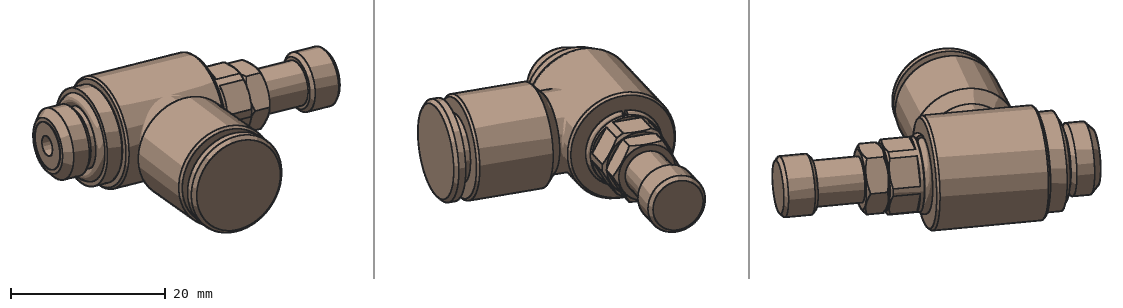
import cadquery as cq
import math


OVERALL_WIDTH = 30.5
OVERALL_LENGTH = 42.0

BARREL_DIAMETER = 15.0
BARREL_RADIUS = BARREL_DIAMETER / 2
BARREL_HALF_LENGTH = 7.5
BARREL_CHAMFER = 0.3
BARREL_TOP_CHAMFER_LENGTH = 0.38

PORT_NECK_RADIUS = 5.5
PORT_RADIUS = 7.0
PORT_CONE_START = 7.95
PORT_CONE_END = PORT_CONE_START + PORT_RADIUS - PORT_NECK_RADIUS
PORT_END = 20.0
PORT_CHAMFER = 0.35
JUNCTION_FILLET = 0.25

SLEEVE_RADIUS = 4.6
SLEEVE_FLARE_LENGTH = 0.38
SLEEVE_FLARE_RADIUS = 4.87
RELEASE_FLANGE_RADIUS = 6.8
RELEASE_FLANGE_END = OVERALL_WIDTH - BARREL_RADIUS
RELEASE_FLANGE_THICKNESS = 1.45
RELEASE_FLANGE_START = RELEASE_FLANGE_END - RELEASE_FLANGE_THICKNESS
RELEASE_FLANGE_CHAMFER = 0.5

KNOB_RADIUS = 4.0
KNOB_TOP = 26.92
KNOB_BOTTOM = 22.4
KNOB_CHAMFER = 0.5
ROD_RADIUS = 3.02

HEX_CHAMFER_INSET = 0.1
HEX_CHAMFER_SLOPE = math.tan(math.radians(30))
NUT_ACROSS_FLATS = 8.02
NUT_TOP = 16.1
NUT_BOTTOM = 13.05
HEX_ACROSS_FLATS = 9.0
HEX_BOTTOM = 9.15
COLLAR_RADIUS = 4.9
COLLAR_BOTTOM = 8.6

BORE_RADIUS = 4.65
BEAD_SECTION_RADIUS = 0.5
BEAD_CENTER_RADIUS = 4.8
BEAD_OUTER_RADIUS = BEAD_CENTER_RADIUS + BEAD_SECTION_RADIUS
BEAD_CENTER_HEIGHT = BARREL_HALF_LENGTH + BEAD_SECTION_RADIUS
BEAD_NOTCH_WIDTH = 0.65

STEM_FLANGE_RADIUS = 6.55
STEM_FLANGE_BOTTOM = -9.9
STEM_FLANGE_CHAMFER = 0.2
SEAL_CENTER_RADIUS = 5.05
SEAL_SECTION_RADIUS = 0.9
SEAL_BOTTOM = -10.63
RELIEF_RADIUS = 4.15
THREAD_RADIUS = 4.8
THREAD_TOP = -11.6
THREAD_CHAMFER = 1.05
STEM_BOTTOM = -15.0
INSERT_RADIUS = 3.2
INSERT_BOTTOM = KNOB_TOP - OVERALL_LENGTH
FLOW_HOLE_RADIUS = 1.35
FLOW_HOLE_DEPTH = 4.2


def revolve_about_y(points):
    """Turn a closed (radius, y) outline around the stem axis."""
    return cq.Workplane("XY").polyline(points).close().revolve(360, (0, 0), (0, 1))


def revolve_about_x(points):
    """Turn a closed (x, radius) outline around the port axis."""
    return cq.Workplane("XY").polyline(points).close().revolve(360, (0, 0), (1, 0))


def cylinder_y(radius, bottom, top):
    """Round bar on the stem axis from y = bottom to y = top."""
    return cq.Workplane("XZ", origin=(0, bottom, 0)).circle(radius).extrude(bottom - top)


def torus_y(center_radius, section_radius, y):
    """Torus around the stem axis at height y."""
    section = cq.Workplane("XY").center(center_radius, y).circle(section_radius)
    return section.revolve(360, (-center_radius, 0), (-center_radius, 1))


def hexagon_y(across_flats, bottom, top):
    """Hexagonal bar on the stem axis with two flats facing +Z and -Z."""
    across_corners = across_flats / math.cos(math.radians(30))
    return cq.Workplane("XZ", origin=(0, bottom, 0)).polygon(6, across_corners).extrude(bottom - top)


def make_housing():
    """Barrel, port neck, tube port and release sleeve, bored through for the stem."""
    barrel = revolve_about_y([
        (0, -BARREL_HALF_LENGTH),
        (BARREL_RADIUS - BARREL_CHAMFER, -BARREL_HALF_LENGTH),
        (BARREL_RADIUS, -BARREL_HALF_LENGTH + BARREL_CHAMFER),
        (BARREL_RADIUS, BARREL_HALF_LENGTH - BARREL_TOP_CHAMFER_LENGTH),
        (BARREL_RADIUS - BARREL_CHAMFER, BARREL_HALF_LENGTH),
        (0, BARREL_HALF_LENGTH),
    ])
    neck = cq.Workplane("YZ").circle(PORT_NECK_RADIUS).extrude(PORT_CONE_START)
    body = barrel.union(neck)
    body = body.edges("%BSPLINE").fillet(JUNCTION_FILLET)
    port = revolve_about_x([
        (PORT_CONE_START, 0),
        (PORT_CONE_START, PORT_NECK_RADIUS),
        (PORT_CONE_END, PORT_RADIUS),
        (PORT_END - PORT_CHAMFER, PORT_RADIUS),
        (PORT_END, PORT_RADIUS - PORT_CHAMFER),
        (PORT_END, SLEEVE_RADIUS),
        (RELEASE_FLANGE_START - SLEEVE_FLARE_LENGTH, SLEEVE_RADIUS),
        (RELEASE_FLANGE_START, SLEEVE_FLARE_RADIUS),
        (RELEASE_FLANGE_START, RELEASE_FLANGE_RADIUS),
        (RELEASE_FLANGE_END - RELEASE_FLANGE_CHAMFER, RELEASE_FLANGE_RADIUS),
        (RELEASE_FLANGE_END, RELEASE_FLANGE_RADIUS - RELEASE_FLANGE_CHAMFER),
        (RELEASE_FLANGE_END, 0),
    ])
    bore = cylinder_y(BORE_RADIUS, -BARREL_HALF_LENGTH, BARREL_HALF_LENGTH)
    return body.union(port).cut(bore)


def make_lock_nut():
    """Hexagon nut with both ends chamfered by a shallow cone."""
    middle = (NUT_TOP + NUT_BOTTOM) / 2
    face_radius = NUT_ACROSS_FLATS / 2 - HEX_CHAMFER_INSET
    cone_radius = face_radius + (NUT_TOP - middle) / HEX_CHAMFER_SLOPE
    chamfers = revolve_about_y([
        (0, NUT_BOTTOM),
        (face_radius, NUT_BOTTOM),
        (cone_radius, middle),
        (face_radius, NUT_TOP),
        (0, NUT_TOP),
    ])
    return hexagon_y(NUT_ACROSS_FLATS, NUT_BOTTOM, NUT_TOP).intersect(chamfers)


def make_wrench_hexagon():
    """Hexagon with corners rounded to the collar and its top end chamfered."""
    face_radius = HEX_ACROSS_FLATS / 2 - HEX_CHAMFER_INSET
    chamfer_drop = (COLLAR_RADIUS - face_radius) * HEX_CHAMFER_SLOPE
    round_corners = revolve_about_y([
        (0, HEX_BOTTOM),
        (COLLAR_RADIUS, HEX_BOTTOM),
        (COLLAR_RADIUS, NUT_BOTTOM - chamfer_drop),
        (face_radius, NUT_BOTTOM),
        (0, NUT_BOTTOM),
    ])
    return hexagon_y(HEX_ACROSS_FLATS, HEX_BOTTOM, NUT_BOTTOM).intersect(round_corners)


def make_bead():
    """Round bead that retains the housing, interrupted by a notch on the +Z side."""
    bead = torus_y(BEAD_CENTER_RADIUS, BEAD_SECTION_RADIUS, BEAD_CENTER_HEIGHT)
    notch = (
        cq.Workplane("XY")
        .center(0, BEAD_CENTER_HEIGHT)
        .rect(BEAD_NOTCH_WIDTH, 2 * BEAD_SECTION_RADIUS)
        .extrude(BEAD_OUTER_RADIUS)
    )
    return bead.cut(notch)


def make_stem():
    """Turned stem with its seal, hexagon, lock nut, bead and flow hole."""
    stem = revolve_about_y([
        (0, INSERT_BOTTOM),
        (INSERT_RADIUS, INSERT_BOTTOM),
        (INSERT_RADIUS, STEM_BOTTOM),
        (THREAD_RADIUS - THREAD_CHAMFER, STEM_BOTTOM),
        (THREAD_RADIUS, STEM_BOTTOM + THREAD_CHAMFER),
        (THREAD_RADIUS, THREAD_TOP),
        (RELIEF_RADIUS, THREAD_TOP + THREAD_RADIUS - RELIEF_RADIUS),
        (RELIEF_RADIUS, STEM_FLANGE_BOTTOM),
        (STEM_FLANGE_RADIUS, STEM_FLANGE_BOTTOM),
        (STEM_FLANGE_RADIUS, -BARREL_HALF_LENGTH - STEM_FLANGE_CHAMFER),
        (STEM_FLANGE_RADIUS - STEM_FLANGE_CHAMFER, -BARREL_HALF_LENGTH),
        (BORE_RADIUS, -BARREL_HALF_LENGTH),
        (BORE_RADIUS, COLLAR_BOTTOM),
        (COLLAR_RADIUS, COLLAR_BOTTOM),
        (COLLAR_RADIUS, HEX_BOTTOM),
        (ROD_RADIUS, HEX_BOTTOM),
        (ROD_RADIUS, KNOB_BOTTOM),
        (KNOB_RADIUS - KNOB_CHAMFER, KNOB_BOTTOM),
        (KNOB_RADIUS, KNOB_BOTTOM + KNOB_CHAMFER),
        (KNOB_RADIUS, KNOB_TOP - KNOB_CHAMFER),
        (KNOB_RADIUS - KNOB_CHAMFER, KNOB_TOP),
        (0, KNOB_TOP),
    ])
    seal = torus_y(SEAL_CENTER_RADIUS, SEAL_SECTION_RADIUS, SEAL_BOTTOM + SEAL_SECTION_RADIUS)
    flow_hole = cylinder_y(FLOW_HOLE_RADIUS, INSERT_BOTTOM, INSERT_BOTTOM + FLOW_HOLE_DEPTH)
    stem = stem.union(seal).union(make_wrench_hexagon()).union(make_lock_nut())
    return stem.union(make_bead()).cut(flow_hole)


housing = make_housing()
stem = make_stem()

result = cq.Compound.makeCompound([housing.solids().val(), stem.solids().val()])